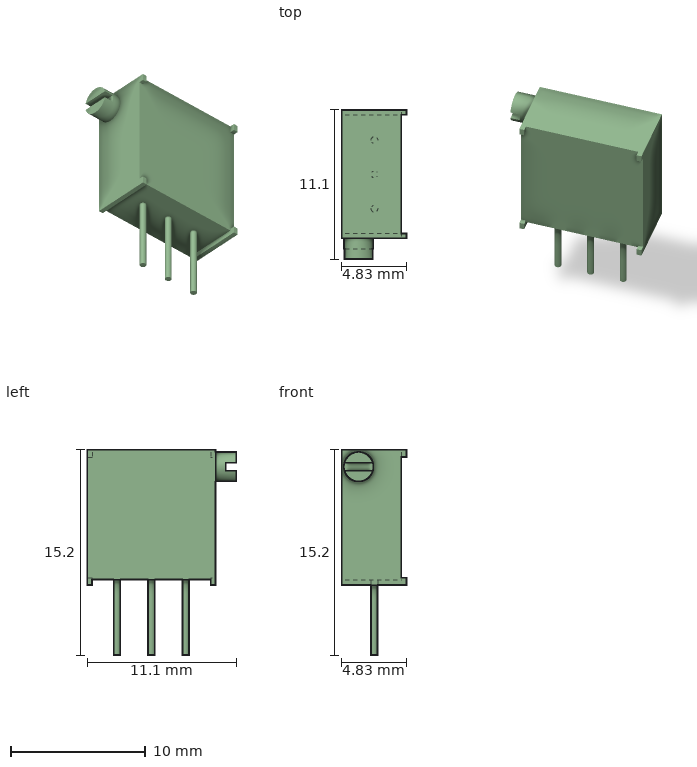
import cadquery as cq


overall_width = 4.83
overall_length = 11.05
overall_height = 15.23

housing_length = 9.53
housing_height = 10.04
lug_projection = 0.4
lug_height = 0.55
standoff_thickness = 0.38
foot_height = 0.4

screw_diameter = 2.2
screw_inset = 1.26
screw_drop = 1.26
slot_width = 0.56
slot_depth = 0.76

lead_diameter = 0.5
lead_pitch = 2.55
lead_count = 3

side_face_x = overall_width / 2 - lug_projection
screw_face_y = -housing_length / 2
screw_length = overall_length - housing_length
screw_x = -overall_width / 2 + screw_inset
screw_z = housing_height - screw_drop
lead_tip_z = housing_height - overall_height
standoff_gap = housing_length - 2 * standoff_thickness


def make_housing():
    block = cq.Workplane("XY").box(
        overall_width, housing_length, housing_height, centered=(True, True, False)
    )

    lengthwise_channel = (
        cq.Workplane("XY")
        .box(lug_projection, housing_length, housing_height - 2 * lug_height, centered=(False, True, False))
        .translate((side_face_x, 0, lug_height))
    )
    upright_channel = (
        cq.Workplane("XY")
        .box(lug_projection, standoff_gap, housing_height, centered=(False, True, False))
        .translate((side_face_x, 0, 0))
    )

    underside_channel = cq.Workplane("XY").box(
        overall_width, standoff_gap, foot_height, centered=(True, True, False)
    )
    return block.cut(lengthwise_channel).cut(upright_channel).cut(underside_channel)


def make_screw():
    head = (
        cq.Workplane("XZ", origin=(screw_x, screw_face_y, screw_z))
        .circle(screw_diameter / 2)
        .extrude(screw_length)
    )
    slot = (
        cq.Workplane("XY")
        .box(screw_diameter, slot_depth, slot_width, centered=(True, False, True))
        .translate((screw_x, screw_face_y - screw_length, screw_z))
    )
    return head.cut(slot)


def make_lead(lead_y):
    return (
        cq.Workplane("XY", origin=(0, lead_y, lead_tip_z))
        .circle(lead_diameter / 2)
        .extrude(foot_height - lead_tip_z)
    )


housing = make_housing()
screw = make_screw()
leads = []
for index in range(lead_count):
    lead_y = (index - (lead_count - 1) / 2) * lead_pitch
    leads.append(make_lead(lead_y).val())

result = cq.Compound.makeCompound([housing.val(), screw.val(), *leads])